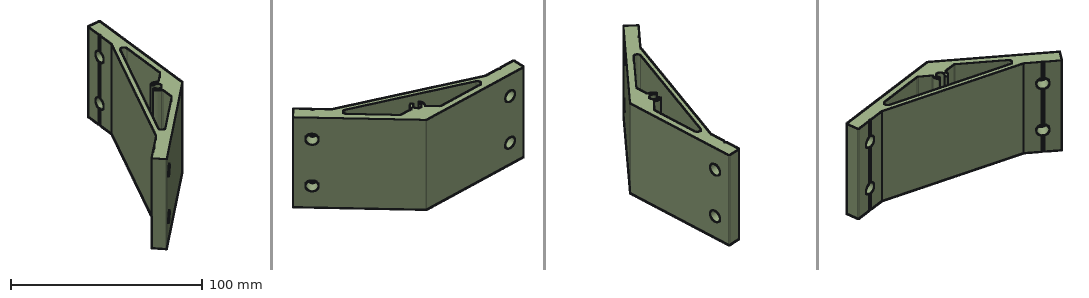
import cadquery as cq
import math

HALF_SPAN = 64.5
HEIGHT = 58.0
ARM_SLOPE = 22.5

ARM_THICKNESS = 8.0
ARM_WALL = 4.0
WEB_TOP = -23.5
WEB_BOTTOM = -26.5
CAVITY_END_RADIUS = 2.0
CAVITY_PEAK_RADIUS = 1.0
EDGE_RADIUS = 0.5

CLIP_CENTER_Y = -13.5
CLIP_OUTER_RADIUS = 4.0
CLIP_INNER_RADIUS = 2.2
CLIP_MOUTH_HALF_ANGLE = 32.0

HOLE_DIAMETER = 7.0
HOLE_SPACING = 30.0
HOLE_FROM_ARM_END = 10.1
GROOVE_WIDTH = 1.7
GROOVE_DEPTH = 0.45

SLOPE = math.radians(ARM_SLOPE)
SIDES = (-1, 1)
TIP_SETBACK = EDGE_RADIUS * (math.cos(SLOPE) + math.sin(SLOPE) - 1)
ARM_LENGTH = (HALF_SPAN + TIP_SETBACK) / math.cos(SLOPE)
CUT_OVERRUN = 1.3
HOLE_ALONG_ARM = ARM_LENGTH - HOLE_FROM_ARM_END


def arm_point(along, depth, side=1):
    """Point at a distance along an arm from the ridge and a depth below its outer face."""
    x = along * math.cos(SLOPE) - depth * math.sin(SLOPE)
    y = -along * math.sin(SLOPE) - depth * math.cos(SLOPE)
    return (side * x, y)


def x_where_arm_reaches(y, depth):
    """X at which the line parallel to the outer face, at the given depth, reaches height y."""
    return (-y - depth / math.cos(SLOPE)) / math.tan(SLOPE)


def mirrored_outline(right_points):
    """Closed outline from the right-hand points and their mirror images."""
    left_points = [(-x, y) for x, y in reversed(right_points)]
    return cq.Workplane("XY").polyline(right_points + left_points).close()


def corner(solid, x, y):
    """Select the vertical edges of a prism that pass through (x, y)."""
    reach = 0.06
    low = (x - reach, y - reach, 0)
    high = (x + reach, y + reach, HEIGHT)
    box = cq.selectors.BoxSelector(low, high)
    return solid.edges("|Z").edges(box)


def make_body():
    web_corner = (x_where_arm_reaches(WEB_BOTTOM, ARM_THICKNESS), WEB_BOTTOM)
    tip_top = arm_point(ARM_LENGTH, 0)
    tip_bottom = arm_point(ARM_LENGTH, ARM_THICKNESS)
    body = mirrored_outline([(0, 0), tip_top, tip_bottom, web_corner]).extrude(HEIGHT)
    for side in SIDES:
        for x, y in (tip_top, tip_bottom):
            body = corner(body, side * x, y).fillet(EDGE_RADIUS)
    return corner(body, 0, 0).fillet(EDGE_RADIUS)


def make_cavity():
    wall_drop = ARM_WALL / math.cos(SLOPE)
    peak_x = (-CLIP_CENTER_Y - wall_drop) / (2 * math.tan(SLOPE))
    peak = (peak_x, -wall_drop - peak_x * math.tan(SLOPE))
    end = (x_where_arm_reaches(WEB_TOP, ARM_WALL), WEB_TOP)
    cavity = mirrored_outline([(0, CLIP_CENTER_Y), peak, end]).extrude(HEIGHT)
    for side in SIDES:
        cavity = corner(cavity, side * peak[0], peak[1]).fillet(CAVITY_PEAK_RADIUS)
        cavity = corner(cavity, side * end[0], end[1]).fillet(CAVITY_END_RADIUS)
    return cavity


def make_clip_wall():
    return cq.Workplane("XY").center(0, CLIP_CENTER_Y).circle(CLIP_OUTER_RADIUS).extrude(HEIGHT)


def make_clip_opening():
    bore = cq.Workplane("XY").center(0, CLIP_CENTER_Y).circle(CLIP_INNER_RADIUS).extrude(HEIGHT)
    wedge_depth = CLIP_OUTER_RADIUS + CUT_OVERRUN
    wedge_half_width = wedge_depth * math.tan(math.radians(CLIP_MOUTH_HALF_ANGLE))
    mouth = (
        cq.Workplane("XY")
        .center(0, CLIP_CENTER_Y)
        .polyline([(0, 0), (wedge_half_width, -wedge_depth), (-wedge_half_width, -wedge_depth)])
        .close()
        .extrude(HEIGHT)
    )
    return bore.union(mouth)


def clip_point(radius, angle):
    """Point at a radius from the clip centre; the angle is measured from +X."""
    return (radius * math.cos(angle), CLIP_CENTER_Y + radius * math.sin(angle))


def make_cavity_around_clip():
    root = clip_point(CLIP_OUTER_RADIUS, SLOPE)
    mouth_angle = math.radians(CLIP_MOUTH_HALF_ANGLE - 90)
    outer_lip = clip_point(CLIP_OUTER_RADIUS, mouth_angle)
    inner_lip = clip_point(CLIP_INNER_RADIUS, mouth_angle)
    cavity = make_cavity().cut(make_clip_wall()).union(make_clip_opening())
    for side in SIDES:
        for x, y in (root, outer_lip, inner_lip):
            cavity = corner(cavity, side * x, y).fillet(EDGE_RADIUS)
    return cavity


def make_groove(side):
    half_width = GROOVE_WIDTH / 2
    points = [
        arm_point(HOLE_ALONG_ARM - half_width, ARM_THICKNESS, side),
        arm_point(HOLE_ALONG_ARM, ARM_THICKNESS - GROOVE_DEPTH, side),
        arm_point(HOLE_ALONG_ARM + half_width, ARM_THICKNESS, side),
    ]
    return cq.Workplane("XY").polyline(points).close().extrude(HEIGHT)


def make_hole(side, z):
    x, y = arm_point(HOLE_ALONG_ARM, -CUT_OVERRUN, side)
    inward = cq.Vector(-side * math.sin(SLOPE), -math.cos(SLOPE), 0)
    depth = ARM_THICKNESS + 2 * CUT_OVERRUN
    hole = cq.Solid.makeCylinder(HOLE_DIAMETER / 2, depth, cq.Vector(x, y, z), inward)
    return cq.Workplane(obj=hole)


result = make_body().cut(make_cavity_around_clip())
for side in SIDES:
    result = result.cut(make_groove(side))
    for level in SIDES:
        result = result.cut(make_hole(side, HEIGHT / 2 + level * HOLE_SPACING / 2))